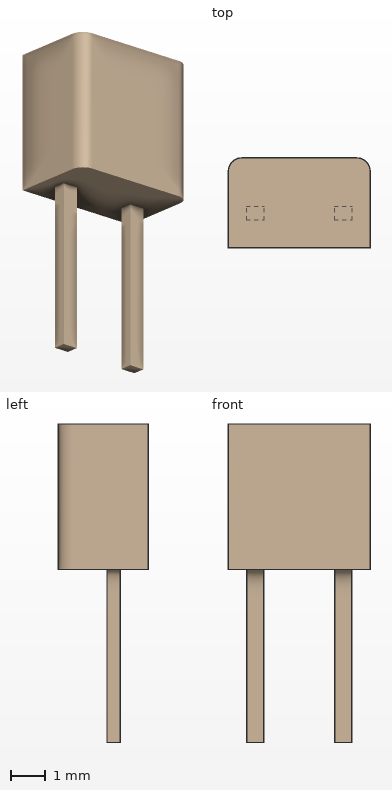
import cadquery as cq

body_width = 4.1
body_depth = 2.6
body_height = 4.2
corner_radius = 0.4

total_height = 9.2
lead_width = 0.5
lead_depth = 0.4
lead_pitch = 2.54
lead_from_front = 1.0
lead_length = total_height - body_height


def make_body():
    """Block standing on Z = 0 with its front face on Y = 0."""
    block = cq.Workplane("XY").box(body_width, body_depth, body_height, centered=(True, False, False))
    return block.edges("|Z and >Y").fillet(corner_radius)


def make_leads():
    """Pair of leads hanging from the underside of the body."""
    return (
        cq.Workplane("XY")
        .pushPoints([(side * lead_pitch / 2, lead_from_front) for side in (-1, 1)])
        .rect(lead_width, lead_depth)
        .extrude(-lead_length)
    )


result = make_body().union(make_leads())